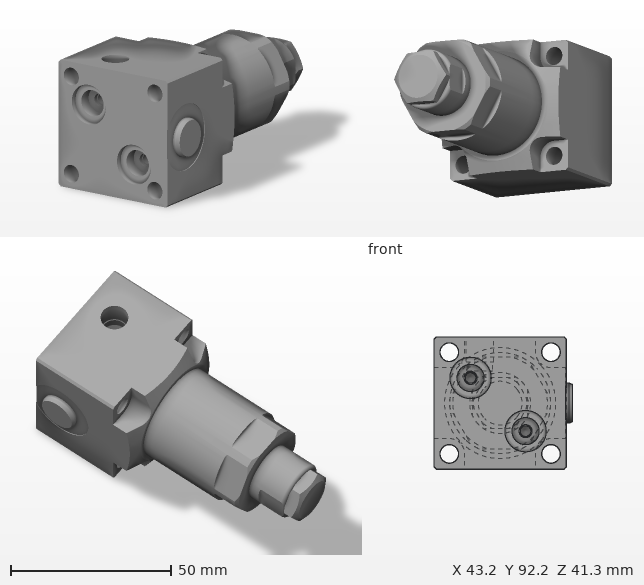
import cadquery as cq
import math


block_side = 41.3
block_length = 38.4
shoulder_y = 30.15
edge_chamfer = 0.7
block_cone_radius = 17.3
block_cone_slope = 0.5
bolt_offset = 15.9
bolt_hole_radius = 2.9
notch_radius = 4.8

tube_radius = 15.8
tube_end_y = 74.8
tube_chamfer = 1.0
tube_flat_distance = 14.3
tube_flat_start_y = 65.65

neck_radius = 9.5
neck_end_y = 87.6
neck_fillet = 1.1
neck_flat_distance = 8.6
neck_flat_start_y = 78.4
flat_fillet = 0.55

nut_across_flats = 15.9
nut_end_y = 92.2
nut_top_radius = 6.8
nut_bottom_radius = 8.3
nut_cone_angle = 30

port_centres = [(-9.2, 7.8), (7.9, -8.8)]
seal_radius = 6.5
seal_depth = 2.0
bore_radius = 4.2
bore_depth = 6.0
orifice_radius = 2.0
orifice_depth = 7.4
orifice_pilot_radius = 1.7
orifice_pilot_depth = 11.7

top_port_x = -6.4
top_port_y = 10.4
top_port_radius = 4.3
top_port_thread_depth = 7.8
top_port_pilot_radius = 4.0
top_port_pilot_depth = 10.6
drill_tip_angle = 120

plug_y = 9.7
plug_radius = 6.3
plug_tip_radius = 5.8
plug_height = 1.9
plug_straight_height = 0.8
spotface_radius = 10.8
spotface_depth = 0.3

half_side = block_side / 2
slack = 0.9
hex_step = 60


def revolve_about_y(points):
    """Solid of revolution from (radius, y) points."""
    return cq.Workplane("XY").polyline(points).close().revolve(360, (0, 0, 0), (0, 1, 0))


def bar_along_y(radius, y_start, y_end, x=0, z=0):
    return cq.Workplane("XZ", origin=(x, y_start, z)).circle(radius).extrude(y_start - y_end)


def blind_hole(steps):
    """Stepped drill along +Y from the origin; steps are (radius, depth), ending in a conical tip."""
    points = [(0, -slack)]
    y = -slack
    for radius, depth in steps:
        points += [(radius, y), (radius, depth)]
        y = depth
    tip_length = steps[-1][0] / math.tan(math.radians(drill_tip_angle / 2))
    points.append((0, y + tip_length))
    return revolve_about_y(points)


def flat_cutter(distance, y_start, y_end, outer_radius):
    """Cutter leaving a flat that faces +X, with a rounded foot at y_start."""
    half_width = outer_radius + slack
    return (
        cq.Workplane("XY", origin=(0, 0, -half_width))
        .moveTo(distance, y_end)
        .lineTo(distance, y_start + flat_fillet)
        .radiusArc((distance + flat_fillet, y_start), -flat_fillet)
        .lineTo(half_width, y_start)
        .lineTo(half_width, y_end)
        .close()
        .extrude(2 * half_width)
    )


def cut_flats(body, cutter, angles):
    for angle in angles:
        body = body.cut(cutter.rotate((0, 0, 0), (0, 1, 0), angle))
    return body


def make_block():
    """Square block with a conical rear bevel, corner notches and through bolt holes."""
    block = (
        cq.Workplane("XY")
        .box(block_side, block_length, block_side)
        .translate((0, block_length / 2, 0))
        .edges("|Y")
        .chamfer(edge_chamfer)
    )
    corner_radius = block_side
    cone_drop = (corner_radius - block_cone_radius) * block_cone_slope
    envelope = revolve_about_y([
        (0, 0),
        (corner_radius, 0),
        (corner_radius, block_length - cone_drop),
        (block_cone_radius, block_length),
        (0, block_length),
    ])
    block = block.intersect(envelope)

    notch_inner = bolt_offset - notch_radius
    notch_outer = half_side + slack
    notch_size = notch_outer - notch_inner
    notch_centre = (notch_outer + notch_inner) / 2
    notch_length = block_length - shoulder_y + slack
    for side_x in (-1, 1):
        for side_z in (-1, 1):
            notch = (
                cq.Workplane("XY")
                .box(notch_size, notch_length, notch_size)
                .edges("|Y and <X and <Z")
                .fillet(notch_radius)
                .translate((notch_centre, shoulder_y + notch_length / 2, notch_centre))
            )
            if side_x < 0:
                notch = notch.mirror("YZ")
            if side_z < 0:
                notch = notch.mirror("XY")
            hole = bar_along_y(
                bolt_hole_radius, -slack, shoulder_y + slack, side_x * bolt_offset, side_z * bolt_offset
            )
            block = block.cut(notch).cut(hole)
    return block


def make_tube():
    """Round tube with six flats, two of them facing up and down."""
    tube = bar_along_y(tube_radius, shoulder_y, tube_end_y).faces(">Y").chamfer(tube_chamfer)
    cutter = flat_cutter(tube_flat_distance, tube_flat_start_y, tube_end_y + slack, tube_radius)
    return cut_flats(tube, cutter, range(hex_step // 2, 360, hex_step))


def make_neck():
    """Round neck with one flat on each X side."""
    neck = bar_along_y(neck_radius, shoulder_y, neck_end_y).faces(">Y").edges().fillet(neck_fillet)
    cutter = flat_cutter(neck_flat_distance, neck_flat_start_y, neck_end_y + slack, neck_radius)
    return cut_flats(neck, cutter, (0, 180))


def make_nut():
    """Hexagon with corners on the X axis and conical bevels at both ends."""
    corner_diameter = nut_across_flats / math.cos(math.radians(hex_step / 2))
    nut = (
        cq.Workplane("XZ", origin=(0, neck_end_y, 0))
        .polygon(360 // hex_step, corner_diameter)
        .extrude(neck_end_y - nut_end_y)
    )
    rim_radius = corner_diameter / 2 + slack
    slope = math.tan(math.radians(nut_cone_angle))
    envelope = revolve_about_y([
        (0, neck_end_y),
        (nut_bottom_radius, neck_end_y),
        (rim_radius, neck_end_y + (rim_radius - nut_bottom_radius) * slope),
        (rim_radius, nut_end_y - (rim_radius - nut_top_radius) * slope),
        (nut_top_radius, nut_end_y),
        (0, nut_end_y),
    ])
    return nut.intersect(envelope)


def cut_ports(body):
    face_port = blind_hole([
        (seal_radius, seal_depth),
        (bore_radius, bore_depth),
        (orifice_radius, orifice_depth),
        (orifice_pilot_radius, orifice_pilot_depth),
    ])
    for x, z in port_centres:
        body = body.cut(face_port.translate((x, 0, z)))

    top_port = blind_hole([
        (top_port_radius, top_port_thread_depth),
        (top_port_pilot_radius, top_port_pilot_depth),
    ])
    top_port = top_port.rotate((0, 0, 0), (1, 0, 0), -90)
    return body.cut(top_port.translate((top_port_x, top_port_y, half_side)))


def add_plug(body):
    floor_x = half_side - spotface_depth
    spotface = (
        cq.Workplane("YZ", origin=(floor_x, plug_y, 0))
        .circle(spotface_radius)
        .extrude(spotface_depth + slack)
    )
    plug = (
        cq.Workplane("XY")
        .polyline([
            (floor_x - slack, 0),
            (floor_x - slack, plug_radius),
            (half_side + plug_straight_height, plug_radius),
            (half_side + plug_height, plug_tip_radius),
            (half_side + plug_height, 0),
        ])
        .close()
        .revolve(360, (0, 0, 0), (1, 0, 0))
        .translate((0, plug_y, 0))
    )
    return body.cut(spotface).union(plug)


result = make_block().union(make_tube()).union(make_neck()).union(make_nut())
result = cut_ports(result)
result = add_plug(result)